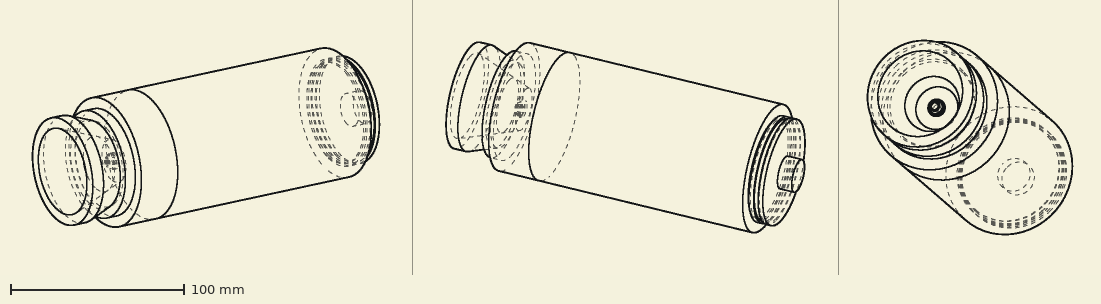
import cadquery as cq
import math

TOTAL_LENGTH = 207.0
FRONT_Y = -TOTAL_LENGTH / 2
REAR_Y = TOTAL_LENGTH / 2

LIP_LENGTH = 7.5
FLARE_LENGTH = 15.1
COLLAR_LENGTH = 6.8
FRONT_RING_LENGTH = 25.0
BARREL_LENGTH = 133.7

CAP_NECK_LENGTH = 1.2
CAP_FLANGE_LENGTH = 3.0
CAP_GROOVE_LENGTH = 3.0

BARREL_RADIUS = 38.0
BELL_RADIUS = 31.7
CAP_GROOVE_RADIUS = 30.5
CAP_NECK_RADIUS = 29.8
STUB_RADIUS = 9.7

BELL_LENGTH = 25.0
BELL_TAPER_DEGREES = 20
BORE_MOUTH_RADIUS = 25.5
BORE_FLOOR_RADIUS = 12.6

NOZZLE_BASE_RADIUS = 5.0
NOZZLE_STEP_RADIUS = 4.3
NOZZLE_CONE_RADIUS = 4.0
NOZZLE_TIP_RADIUS = 3.0
NEEDLE_RADIUS = 2.0
NOZZLE_STEP_LENGTH = 1.2
NOZZLE_CONE_LENGTH = 2.0

FLARE_START_Y = FRONT_Y + LIP_LENGTH
COLLAR_START_Y = FLARE_START_Y + FLARE_LENGTH
RING_START_Y = COLLAR_START_Y + COLLAR_LENGTH
BARREL_START_Y = RING_START_Y + FRONT_RING_LENGTH
CAP_START_Y = BARREL_START_Y + BARREL_LENGTH
CAP_INNER_FLANGE_Y = CAP_START_Y + CAP_NECK_LENGTH
CAP_GROOVE_Y = CAP_INNER_FLANGE_Y + CAP_FLANGE_LENGTH
CAP_OUTER_FLANGE_Y = CAP_GROOVE_Y + CAP_GROOVE_LENGTH
STUB_START_Y = CAP_OUTER_FLANGE_Y + CAP_FLANGE_LENGTH

BELL_END_Y = FRONT_Y + BELL_LENGTH
TAPER = math.tan(math.radians(BELL_TAPER_DEGREES))
FLARE_END_RADIUS = BELL_RADIUS - TAPER * (BELL_END_Y - FLARE_START_Y)
FLARE_NECK_RADIUS = BELL_RADIUS - TAPER * FLARE_LENGTH
BORE_JOINT_RADIUS = BORE_MOUTH_RADIUS - TAPER * BELL_LENGTH
BORE_FLOOR_Y = FRONT_Y + (BORE_MOUTH_RADIUS - BORE_FLOOR_RADIUS) / TAPER

NOZZLE_BASE_Y = BORE_FLOOR_Y - NOZZLE_STEP_LENGTH
NOZZLE_STEP_Y = NOZZLE_BASE_Y - NOZZLE_STEP_LENGTH
NOZZLE_TIP_Y = NOZZLE_STEP_Y - NOZZLE_CONE_LENGTH


def turned(*outline):
    """Solid of revolution about Y from (radius, y) corners."""
    return cq.Workplane("XY").polyline(outline).close().revolve(360, (0, 0), (0, 1))


def rod(radius, start_y, end_y):
    """Plain cylinder on the Y axis."""
    return turned((0, start_y), (radius, start_y), (radius, end_y), (0, end_y))


def make_bell():
    """Flared horn with a rim, its narrow end seated in the collar of the front ring."""
    return turned(
        (BORE_MOUTH_RADIUS, FRONT_Y),
        (BELL_RADIUS, FRONT_Y),
        (BELL_RADIUS, FLARE_START_Y),
        (FLARE_END_RADIUS, BELL_END_Y),
        (BORE_JOINT_RADIUS, BELL_END_Y),
    )


def make_front_ring():
    """Ring with a collar; a tapered recess seats the bell and carries its bore to a flat floor."""
    return turned(
        (0, BORE_FLOOR_Y),
        (BORE_FLOOR_RADIUS, BORE_FLOOR_Y),
        (BORE_JOINT_RADIUS, BELL_END_Y),
        (FLARE_END_RADIUS, BELL_END_Y),
        (FLARE_NECK_RADIUS, COLLAR_START_Y),
        (BELL_RADIUS, COLLAR_START_Y),
        (BELL_RADIUS, RING_START_Y),
        (BARREL_RADIUS, RING_START_Y),
        (BARREL_RADIUS, BARREL_START_Y),
        (0, BARREL_START_Y),
    )


def make_rear_cap():
    """Cap with two equal flanges, a groove between them and a neck against the barrel."""
    return turned(
        (0, CAP_START_Y),
        (CAP_NECK_RADIUS, CAP_START_Y),
        (CAP_NECK_RADIUS, CAP_INNER_FLANGE_Y),
        (BELL_RADIUS, CAP_INNER_FLANGE_Y),
        (BELL_RADIUS, CAP_GROOVE_Y),
        (CAP_GROOVE_RADIUS, CAP_GROOVE_Y),
        (CAP_GROOVE_RADIUS, CAP_OUTER_FLANGE_Y),
        (BELL_RADIUS, CAP_OUTER_FLANGE_Y),
        (BELL_RADIUS, STUB_START_Y),
        (0, STUB_START_Y),
    )


def make_nozzle():
    """Stepped nozzle with a conical tip, bored through for the needle."""
    return turned(
        (NEEDLE_RADIUS, BORE_FLOOR_Y),
        (NOZZLE_BASE_RADIUS, BORE_FLOOR_Y),
        (NOZZLE_BASE_RADIUS, NOZZLE_BASE_Y),
        (NOZZLE_STEP_RADIUS, NOZZLE_BASE_Y),
        (NOZZLE_STEP_RADIUS, NOZZLE_STEP_Y),
        (NOZZLE_CONE_RADIUS, NOZZLE_STEP_Y),
        (NOZZLE_TIP_RADIUS, NOZZLE_TIP_Y),
        (NEEDLE_RADIUS, NOZZLE_TIP_Y),
    )


bell = make_bell()
front_ring = make_front_ring()
barrel = rod(BARREL_RADIUS, BARREL_START_Y, CAP_START_Y)
rear_cap = make_rear_cap()
stub = rod(STUB_RADIUS, STUB_START_Y, REAR_Y)
nozzle = make_nozzle()
needle = rod(NEEDLE_RADIUS, NOZZLE_TIP_Y, BORE_FLOOR_Y)

result = cq.Compound.makeCompound(
    [body.val() for body in (bell, front_ring, barrel, rear_cap, stub, nozzle, needle)]
)